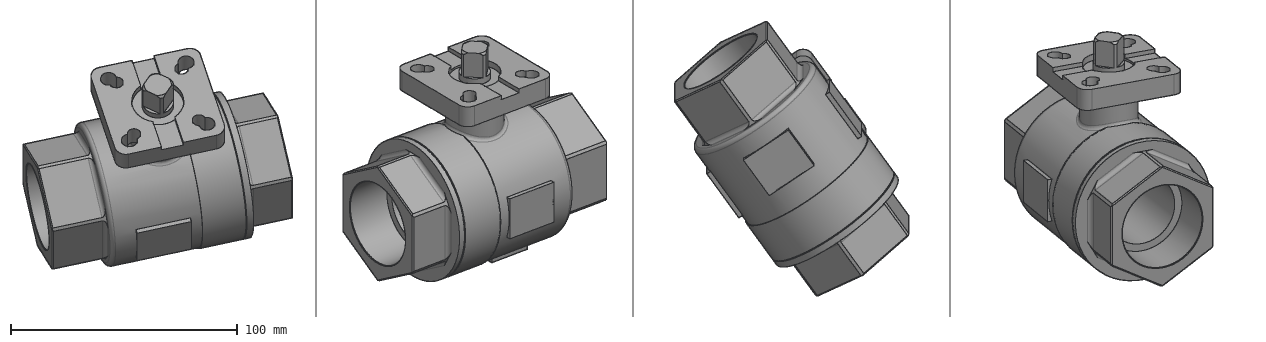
import cadquery as cq
import math


half_length = 55.0
stem_top = 70.0
pad_reach = 33.0

body_diameter = 65.0
body_front = -30.0
body_edge_radius = 2.0
collar_diameter = 66.0
collar_front = 11.7
collar_back = 35.0
groove_width = 0.3
groove_back = 31.9
groove_diameter = body_diameter

hex_flats = 50.0
hex_corner_flats = 56.9
hex_root_radius = 2.0
hex_end_chamfer = 0.5

bore_diameter = 32.0
socket_diameter = 38.9
socket_depth = 20.9
socket_chamfer = 0.3

neck_diameter = 26.0
neck_fillet = 2.0
neck_select_margin = 0.1
plate_side = 49.9
plate_thickness = 9.9
plate_top = 57.9
plate_corner_radius = 5.0
plate_bottom = plate_top - plate_thickness

slot_width = 10.0
slot_depth = 2.0
recess_diameter = 23.0
recess_depth = 3.0
outer_hole_diameter = 7.0
outer_hole_circle = 50.0
inner_hole_diameter = 5.9
inner_hole_circle = 42.0
bolt_count = 4
bolt_angle = 45.0

stem_diameter = 14.0
stem_square = 11.0
stem_square_angle = 45.0
stem_chamfer = 1.0

side_pad_height = 20.0
side_pad_back = 6.6
side_pad_front = -18.3
bottom_pad_width = 24.2
bottom_pad_back = 0.0
bottom_pad_front = -20.0


def rod_along_y(diameter, y_start, y_end):
    """Cylinder on the bore axis between two Y positions."""
    rod = cq.Workplane("XZ", origin=(0, y_start, 0)).circle(diameter / 2)
    return rod.extrude(y_start - y_end)


def block(x_range, y_range, z_range):
    """Box between the given limits on each axis."""
    (x0, x1), (y0, y1), (z0, z1) = x_range, y_range, z_range
    return cq.Workplane("XY").box(x1 - x0, y1 - y0, z1 - z0, centered=False).translate((x0, y0, z0))


def make_hex_end(root, direction):
    """Hexagonal end from the body face at Y = root out to the pipe end, towards +Y or -Y."""
    end = direction * half_length
    half_flats = hex_flats / 2
    flare = half_flats + hex_root_radius
    fillet_end = root + direction * hex_root_radius
    arc_offset = hex_root_radius * (1 - math.sqrt(0.5))
    arc_mid = (half_flats + arc_offset, root + direction * arc_offset)
    slab = (
        cq.Workplane("XY")
        .moveTo(-flare, root)
        .lineTo(flare, root)
        .threePointArc(arc_mid, (half_flats, fillet_end))
        .lineTo(half_flats, end - direction * hex_end_chamfer)
        .lineTo(half_flats - hex_end_chamfer, end)
        .lineTo(-half_flats + hex_end_chamfer, end)
        .lineTo(-half_flats, end - direction * hex_end_chamfer)
        .lineTo(-half_flats, fillet_end)
        .threePointArc((-arc_mid[0], arc_mid[1]), (-flare, root))
        .close()
        .extrude(hex_flats, both=True)
    )
    hexagon = slab
    for angle in (60, 120):
        hexagon = hexagon.intersect(slab.rotate((0, 0, 0), (0, 1, 0), angle))
    corner_trim = (
        cq.Workplane("XZ", origin=(0, root, 0))
        .polygon(6, hex_corner_flats / math.cos(math.pi / 6))
        .extrude(root - end)
    )
    return hexagon.intersect(corner_trim)


def make_body():
    """Round body with the filleted neck that carries the mounting plate."""
    body = rod_along_y(body_diameter, body_front, collar_back)
    body = body.faces("<Y").edges().fillet(body_edge_radius)
    neck = cq.Workplane("XY").circle(neck_diameter / 2).extrude(plate_bottom)
    plate = (
        cq.Workplane("XY", origin=(0, 0, plate_bottom))
        .rect(plate_side, plate_side)
        .extrude(plate_thickness)
        .edges("|Z")
        .fillet(plate_corner_radius)
    )
    valve = body.union(neck).union(plate)
    half_neck = neck_diameter / 2 + neck_select_margin
    neck_zone = cq.selectors.BoxSelector(
        (-half_neck, -half_neck, 0), (half_neck, half_neck, plate_top), boundingbox=True
    )
    return valve.edges(neck_zone).edges("not |Z").fillet(neck_fillet)


def make_collar():
    """Collar sleeve with a narrow groove near its back face."""
    collar = rod_along_y(collar_diameter, collar_front, groove_back - groove_width)
    collar = collar.union(rod_along_y(groove_diameter, collar_front, collar_back))
    return collar.union(rod_along_y(collar_diameter, groove_back, collar_back))


def make_pads():
    """Flat pads on both sides and underneath the body."""
    half_height = side_pad_height / 2
    half_width = bottom_pad_width / 2
    sides = block((-pad_reach, pad_reach), (side_pad_front, side_pad_back), (-half_height, half_height))
    bottom = block((-half_width, half_width), (bottom_pad_front, bottom_pad_back), (-pad_reach, 0))
    return sides.union(bottom)


def make_plate_cuts():
    """Cross slot, round recess and the keyhole-shaped bolt holes of the plate."""
    half_side = plate_side / 2
    half_slot = slot_width / 2
    cuts = block((-half_side, half_side), (-half_slot, half_slot), (plate_top - slot_depth, plate_top))
    recess = cq.Workplane("XY", origin=(0, 0, plate_top)).circle(recess_diameter / 2).extrude(-recess_depth)
    cuts = cuts.union(recess)
    for circle, diameter in (
        (outer_hole_circle, outer_hole_diameter),
        (inner_hole_circle, inner_hole_diameter),
    ):
        holes = (
            cq.Workplane("XY", origin=(0, 0, plate_bottom))
            .polarArray(circle / 2, bolt_angle, 360, bolt_count)
            .circle(diameter / 2)
            .extrude(plate_thickness)
        )
        cuts = cuts.union(holes)
    return cuts


def make_stem():
    """Round stem whose part above the plate is milled to a square set on its corner."""
    base = plate_top - recess_depth
    round_stem = (
        cq.Workplane("XY", origin=(0, 0, base))
        .circle(stem_diameter / 2)
        .extrude(stem_top - base)
        .faces(">Z")
        .edges()
        .chamfer(stem_chamfer)
    )
    square = (
        cq.Workplane("XY", origin=(0, 0, plate_top))
        .transformed(rotate=(0, 0, stem_square_angle))
        .rect(stem_square, stem_square)
        .extrude(stem_top - plate_top)
    )
    shank = cq.Workplane("XY", origin=(0, 0, base)).circle(stem_diameter / 2).extrude(recess_depth)
    return round_stem.intersect(square.union(shank))


def make_flow_cuts():
    """Through bore with a chamfered socket at each end."""
    cuts = rod_along_y(bore_diameter, -half_length, half_length)
    socket_radius = socket_diameter / 2
    socket_profile = [
        (0, half_length - socket_depth),
        (socket_radius, half_length - socket_depth),
        (socket_radius, half_length - socket_chamfer),
        (socket_radius + socket_chamfer, half_length),
        (0, half_length),
    ]
    socket = cq.Workplane("XY").polyline(socket_profile).close().revolve(360, (0, 0, 0), (0, 1, 0))
    return cuts.union(socket).union(socket.mirror("XZ"))


result = (
    make_body()
    .union(make_collar())
    .union(make_hex_end(body_front, -1))
    .union(make_hex_end(collar_back, 1))
    .union(make_pads())
    .cut(make_plate_cuts())
    .union(make_stem())
    .cut(make_flow_cuts())
)